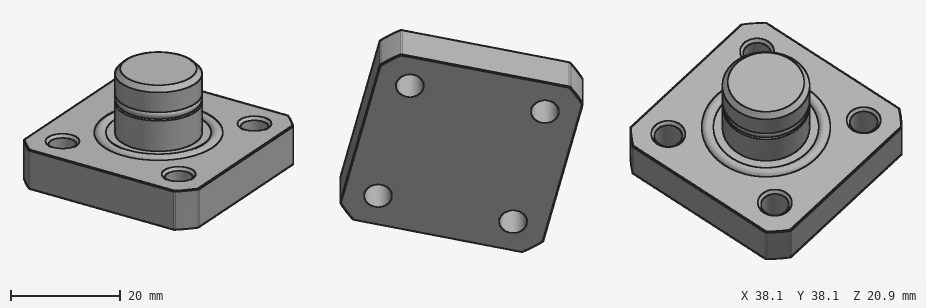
import cadquery as cq

plate_width = 38.1
plate_height = 8.0
corner_radius = 24.75
corner_blend_radius = 0.55
edge_chamfer = 0.2

hole_spacing = 25.3
hole_diameter = 5.05
hole_chamfer = 0.57

total_height = 20.9
pin_radius = 7.95
pin_chamfer = 1.0

groove_bottom = 14.17
groove_height = 1.7
groove_depth = 1.37
pin_ring_section_radius = 0.8

face_ring_inner_radius = 9.6
face_ring_outer_radius = 11.75
face_ring_height = 0.6
ring_embed = 0.2


def make_plate():
    square = cq.Workplane("XY").rect(plate_width, plate_width).extrude(plate_height)
    disc = cq.Workplane("XY").circle(corner_radius).extrude(plate_height)
    plate = square.intersect(disc).edges("|Z").fillet(corner_blend_radius)
    plate = plate.faces("<Z or >Z").edges().chamfer(edge_chamfer)
    return (
        plate.faces(">Z").workplane(origin=(0, 0, plate_height))
        .rect(hole_spacing, hole_spacing, forConstruction=True).vertices()
        .cskHole(hole_diameter, hole_diameter + 2 * hole_chamfer, 90)
    )


def make_pin():
    pin = cq.Workplane("XY").circle(pin_radius).extrude(total_height)
    pin = pin.faces(">Z").chamfer(pin_chamfer)
    groove = (
        cq.Workplane("XY", origin=(0, 0, groove_bottom))
        .circle(pin_radius).circle(pin_radius - groove_depth).extrude(groove_height)
    )
    return pin.cut(groove)


def make_pin_ring():
    ring_radius = pin_radius - pin_ring_section_radius
    ring_middle = groove_bottom + groove_height / 2
    ring_bottom = ring_middle - pin_ring_section_radius
    ring_top = ring_middle + pin_ring_section_radius
    inner_radius = pin_radius - groove_depth - ring_embed
    return (
        cq.Workplane("XZ")
        .moveTo(inner_radius, ring_bottom)
        .lineTo(ring_radius, ring_bottom)
        .threePointArc((pin_radius, ring_middle), (ring_radius, ring_top))
        .lineTo(inner_radius, ring_top)
        .close()
        .revolve(360, (0, 0), (0, 1))
    )


def make_face_ring():
    middle_radius = (face_ring_inner_radius + face_ring_outer_radius) / 2
    base = plate_height - ring_embed
    return (
        cq.Workplane("XZ")
        .moveTo(face_ring_inner_radius, base)
        .lineTo(face_ring_inner_radius, plate_height)
        .threePointArc(
            (middle_radius, plate_height + face_ring_height),
            (face_ring_outer_radius, plate_height),
        )
        .lineTo(face_ring_outer_radius, base)
        .close()
        .revolve(360, (0, 0), (0, 1))
    )


result = make_plate().union(make_pin()).union(make_pin_ring()).union(make_face_ring())